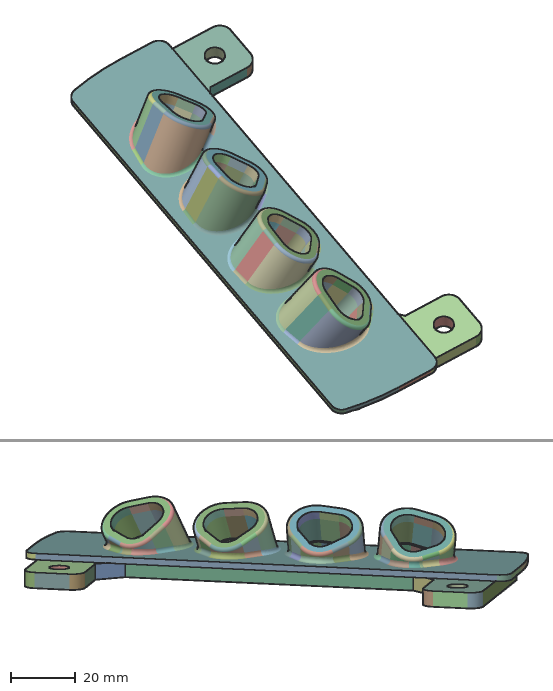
import cadquery as cq
import math

BASE_HEIGHT = 5.0
BASE_HALF_WIDTH = 72.7
BASE_FRONT = 5.6
BASE_BACK = 33.0
TAB_BACK = 56.8
TAB_WIDTH = 19.0
TAB_CORNER_RADIUS = 4.0
TAB_HOLE_DIAMETER = 6.3
TAB_HOLE_TO_BACK = 9.6
GUSSET_START = 39.2
GUSSET_SLOPE_DEG = 38.0
FRONT_CORNER_RADIUS = 3.0
FRONT_TAPER_LENGTH = 6.5
FRONT_TAPER_DEG = 10.0
FRONT_TAPER_BLEND_RADIUS = 20.0

PLATE_HEIGHT = 2.0
PLATE_HALF_WIDTH = 77.0
PLATE_DEPTH = 37.0
PLATE_STRAIGHT_FROM = 21.3
PLATE_SIDE_RADIUS = 83.0
PLATE_CORNER_RADIUS = 3.8

TUBE_FLAT_WIDTH = 6.1
TUBE_SIDE_RADIUS = 8.85
TUBE_APEX_RADIUS = 7.4
TUBE_WALL = 3.3
TUBE_TILT_DEG = 34.0
RIM_FILLET = 1.0
ROOT_FILLET = 1.2
SHOULDER_DEPTH = 12.5
SHOULDER_STEP = 0.6
MOUTH_DEPTH = 3.0
MOUTH_TAPER_DEG = 5.0
TUBE_LENGTH = 50.0

RIM_FRONT_Y = 14.8
TUBE_PAIRS = [(15.4, 5.2, 21.9), (45.8, 14.0, 21.55)]

PLATE_TOP = BASE_HEIGHT + PLATE_HEIGHT
SIN_45 = math.sqrt(0.5)
PICK_MARGIN = 0.1


def box_between(half_width, y_range, z_range):
    """Selector for edges centred inside a box that is symmetric about X = 0."""
    return cq.selectors.BoxSelector(
        (-half_width, y_range[0], z_range[0]),
        (half_width, y_range[1], z_range[1]),
    )


def make_base():
    """Block with rear tabs, joined to them by sloping gussets."""
    tab_inner = BASE_HALF_WIDTH - TAB_WIDTH
    gusset_run = (GUSSET_START - BASE_BACK) / math.tan(math.radians(GUSSET_SLOPE_DEG))
    taper_rise = FRONT_TAPER_LENGTH * math.tan(math.radians(FRONT_TAPER_DEG))
    right_side = [
        (BASE_HALF_WIDTH - FRONT_TAPER_LENGTH, BASE_FRONT),
        (BASE_HALF_WIDTH, BASE_FRONT + taper_rise),
        (BASE_HALF_WIDTH, TAB_BACK),
        (tab_inner, TAB_BACK),
        (tab_inner, GUSSET_START),
        (tab_inner - gusset_run, BASE_BACK),
    ]
    left_side = [(-x, y) for x, y in reversed(right_side)]
    base = cq.Workplane("XY").polyline(right_side + left_side).close().extrude(BASE_HEIGHT)
    base = base.edges("|Z and >Y").fillet(TAB_CORNER_RADIUS)
    pick_width = BASE_HALF_WIDTH + PICK_MARGIN
    outer_y = BASE_FRONT + taper_rise
    outer_corners = box_between(
        pick_width, (outer_y - PICK_MARGIN, outer_y + PICK_MARGIN), (0, BASE_HEIGHT)
    )
    base = base.edges("|Z").edges(outer_corners).fillet(FRONT_CORNER_RADIUS)
    taper_starts = box_between(
        pick_width, (BASE_FRONT - PICK_MARGIN, BASE_FRONT + PICK_MARGIN), (0, BASE_HEIGHT)
    )
    base = base.edges("|Z").edges(taper_starts).fillet(FRONT_TAPER_BLEND_RADIUS)
    hole_x = BASE_HALF_WIDTH - TAB_WIDTH / 2
    hole_y = TAB_BACK - TAB_HOLE_TO_BACK
    holes = (
        cq.Workplane("XY")
        .pushPoints([(-hole_x, hole_y), (hole_x, hole_y)])
        .circle(TAB_HOLE_DIAMETER / 2)
        .extrude(BASE_HEIGHT)
    )
    return base.cut(holes)


def make_plate():
    """Plate whose sides curve inward toward the front."""

    def side_x(y):
        drop = PLATE_STRAIGHT_FROM - y
        return PLATE_HALF_WIDTH - PLATE_SIDE_RADIUS + math.sqrt(PLATE_SIDE_RADIUS**2 - drop**2)

    mid_y = PLATE_STRAIGHT_FROM / 2
    plate = (
        cq.Workplane("XY", origin=(0, 0, BASE_HEIGHT))
        .moveTo(-side_x(0), 0)
        .lineTo(side_x(0), 0)
        .threePointArc((side_x(mid_y), mid_y), (PLATE_HALF_WIDTH, PLATE_STRAIGHT_FROM))
        .lineTo(PLATE_HALF_WIDTH, PLATE_DEPTH)
        .lineTo(-PLATE_HALF_WIDTH, PLATE_DEPTH)
        .lineTo(-PLATE_HALF_WIDTH, PLATE_STRAIGHT_FROM)
        .threePointArc((-side_x(mid_y), mid_y), (-side_x(0), 0))
        .close()
        .extrude(PLATE_HEIGHT)
    )
    return plate.edges("|Z and (<Y or >Y)").fillet(PLATE_CORNER_RADIUS)


def tube_profile(inset, height):
    """Closed outline of the tube, shrunk by inset, at the given height above the rim plane."""
    half_flat = TUBE_FLAT_WIDTH / 2
    side_radius = TUBE_SIDE_RADIUS - inset
    apex_radius = TUBE_APEX_RADIUS - inset
    flank_x = half_flat + side_radius * SIN_45
    flank_y = TUBE_SIDE_RADIUS + side_radius * SIN_45
    apex_centre_y = flank_y + flank_x - apex_radius / SIN_45
    apex_x = apex_radius * SIN_45
    apex_y = apex_centre_y + apex_x
    return (
        cq.Workplane("XY", origin=(0, 0, height))
        .moveTo(-half_flat, inset)
        .lineTo(half_flat, inset)
        .threePointArc((half_flat + side_radius, TUBE_SIDE_RADIUS), (flank_x, flank_y))
        .lineTo(apex_x, apex_y)
        .threePointArc((0, apex_centre_y + apex_radius), (-apex_x, apex_y))
        .lineTo(-flank_x, flank_y)
        .threePointArc((-half_flat - side_radius, TUBE_SIDE_RADIUS), (-half_flat, inset))
        .close()
    )


def tube_prism(inset, top, bottom):
    """Straight-sided solid of the shrunk tube profile between two heights."""
    return tube_profile(inset, bottom).extrude(top - bottom)


def place_tube(body, x, lean_deg, z):
    """Tilt a tube backward, lean it sideways and move its rim into place."""
    tilted = body.rotate((0, 0, 0), (1, 0, 0), -TUBE_TILT_DEG)
    leaned = tilted.rotate((0, 0, 0), (0, 1, 0), lean_deg)
    return leaned.translate((x, RIM_FRONT_Y, z))


def tube_body():
    """Solid outside of a tube with its rim rounded."""
    return tube_prism(0, 0, -TUBE_LENGTH).faces(">Z").edges().fillet(RIM_FILLET)


def tube_bore():
    """Bore with a tapered mouth, a straight middle and a narrower end below the shoulder."""
    mouth = tube_profile(TUBE_WALL, 0).extrude(-MOUTH_DEPTH, taper=MOUTH_TAPER_DEG)
    straight_wall = TUBE_WALL + MOUTH_DEPTH * math.tan(math.radians(MOUTH_TAPER_DEG))
    middle = tube_prism(straight_wall, -MOUTH_DEPTH, -SHOULDER_DEPTH)
    end = tube_prism(straight_wall + SHOULDER_STEP, -SHOULDER_DEPTH, -TUBE_LENGTH)
    return mouth.union(middle).union(end)


def make_part():
    """Join plate, tubes and base, then open the tube bores through all of them."""
    tubes = [(side * x, side * lean, z) for x, lean, z in TUBE_PAIRS for side in (-1, 1)]
    above_plate = (
        cq.Workplane("XY", origin=(0, PLATE_DEPTH / 2, PLATE_TOP))
        .rect(2 * PLATE_HALF_WIDTH, PLATE_DEPTH)
        .extrude(TUBE_LENGTH)
    )
    part = make_plate()
    for x, lean, z in tubes:
        part = part.union(place_tube(tube_body(), x, lean, z).intersect(above_plate))
    root_edges = box_between(
        PLATE_HALF_WIDTH - PLATE_CORNER_RADIUS,
        (PICK_MARGIN, PLATE_DEPTH - PICK_MARGIN),
        (PLATE_TOP - PICK_MARGIN, PLATE_TOP + PICK_MARGIN),
    )
    part = part.edges(root_edges).fillet(ROOT_FILLET)
    part = part.union(make_base())
    for x, lean, z in tubes:
        part = part.cut(place_tube(tube_bore(), x, lean, z))
    return part


result = make_part()